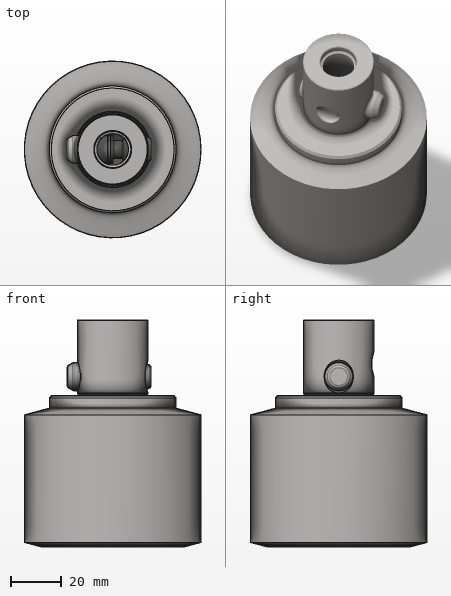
import cadquery as cq
import math

drum_radius = 35.0
flange_radius = 25.1
flange_top = 60.0
flange_height = 5.0
flange_chamfer_width = 0.8
flange_chamfer_height = 1.0
drum_bottom_radius = 28.0
drum_cone_slope = math.tan(math.radians(15))
spigot_radius = 14.0
spigot_top = 90.0
spigot_chamfer = 0.3

relief_depth = 0.2
relief_reach = 1.1
relief_taper_length = 0.5
relief_fillet = 0.5

bore_radius = 6.25
bore_floor = 58.0
drill_point_angle = 118.0
recess_radius = 7.2
recess_depth = 2.5
recess_chamfer = 0.3
recess_floor_rise = 0.45

port_radius = 5.0
port_height = 72.5

pin_radius = 5.6
pin_height = 67.5
pin_left = -18.0
pin_right = 15.2
pin_taper_drop = 1.4
pin_taper_slope = math.tan(math.radians(30))
pin_taper_length = pin_taper_drop / pin_taper_slope
pin_end_fillet = 1.2
pin_hole_mouth_radius = 6.5
pin_hole_taper_length = (pin_hole_mouth_radius - pin_radius) / pin_taper_slope

waist_left = 0.2
waist_right = 4.0
waist_radius = 3.5
waist_fillet = 0.45

ring_section_radius = 0.5
ring_centre_radius = pin_radius - ring_section_radius
groove_left = -1.95
groove_right = -0.75
groove_centre = (groove_left + groove_right) / 2
groove_floor_radius = ring_centre_radius - ring_section_radius

collar_radius = pin_radius + 1.0


def turned_about_z(profile):
    """Solid of revolution about Z from a profile drawn in the XZ plane."""
    return profile.close().revolve(360, (0, 0, 0), (0, 1, 0))


def turned_about_pin_axis(profile):
    """Solid of revolution about the pin axis from a profile of (x, radius) points."""
    solid = profile.close().revolve(360, (0, 0, 0), (1, 0, 0))
    return solid.translate((0, 0, pin_height))


def housing_blank():
    flange_bottom = flange_top - flange_height
    upper_cone_height = (drum_radius - flange_radius) * drum_cone_slope
    lower_cone_height = (drum_radius - drum_bottom_radius) * drum_cone_slope
    relief_floor = flange_top - relief_depth
    neck_radius = spigot_radius - relief_depth
    relief_outer_radius = spigot_radius + relief_reach
    relief_top = flange_top + relief_reach
    profile = (
        cq.Workplane("XZ")
        .lineTo(drum_bottom_radius, 0)
        .lineTo(drum_radius, lower_cone_height)
        .lineTo(drum_radius, flange_bottom - upper_cone_height)
        .lineTo(flange_radius, flange_bottom)
        .lineTo(flange_radius, flange_top - flange_chamfer_height)
        .lineTo(flange_radius - flange_chamfer_width, flange_top)
        .lineTo(relief_outer_radius, flange_top)
        .lineTo(relief_outer_radius - relief_taper_length, relief_floor)
        .lineTo(neck_radius + relief_fillet, relief_floor)
        .radiusArc((neck_radius, relief_floor + relief_fillet), relief_fillet)
        .lineTo(neck_radius, relief_top - relief_taper_length)
        .lineTo(spigot_radius, relief_top)
        .lineTo(spigot_radius, spigot_top - spigot_chamfer)
        .lineTo(spigot_radius - spigot_chamfer, spigot_top)
        .lineTo(0, spigot_top)
    )
    return turned_about_z(profile)


def bore():
    drill_point_height = bore_radius / math.tan(math.radians(drill_point_angle / 2))
    recess_floor = spigot_top - recess_depth
    profile = (
        cq.Workplane("XZ")
        .moveTo(0, bore_floor - drill_point_height)
        .lineTo(bore_radius, bore_floor)
        .lineTo(bore_radius, recess_floor - recess_floor_rise)
        .lineTo(recess_radius, recess_floor)
        .lineTo(recess_radius, spigot_top - recess_chamfer)
        .lineTo(recess_radius + recess_chamfer, spigot_top)
        .lineTo(0, spigot_top)
    )
    return turned_about_z(profile)


def pin_hole():
    """Cross hole along X whose tapered mouths are widest at the spigot surface."""
    taper_start = spigot_radius - pin_hole_taper_length
    profile = (
        cq.Workplane("XY")
        .moveTo(-spigot_radius, 0)
        .lineTo(-spigot_radius, pin_hole_mouth_radius)
        .lineTo(-taper_start, pin_radius)
        .lineTo(taper_start, pin_radius)
        .lineTo(spigot_radius, pin_hole_mouth_radius)
        .lineTo(spigot_radius, 0)
    )
    return turned_about_pin_axis(profile)


def side_port():
    return (
        cq.Workplane("XZ", origin=(0, 0, port_height))
        .circle(port_radius)
        .extrude(-spigot_radius)
    )


def pin_blank():
    tip_radius = pin_radius - pin_taper_drop
    profile = (
        cq.Workplane("XY")
        .moveTo(pin_left, 0)
        .lineTo(pin_left, tip_radius)
        .lineTo(pin_left + pin_taper_length, pin_radius)
        .lineTo(pin_right - pin_taper_length, pin_radius)
        .lineTo(pin_right, tip_radius)
        .lineTo(pin_right, 0)
    )
    return turned_about_pin_axis(profile).edges("%CIRCLE").fillet(pin_end_fillet)


def collar(left, right, inner_radius):
    """Tube around the pin axis, used to cut a groove into the pin."""
    return (
        cq.Workplane("YZ", origin=(left, 0, pin_height))
        .circle(collar_radius)
        .circle(inner_radius)
        .extrude(right - left)
    )


def waist_cutter():
    inner_edges = cq.selectors.RadiusNthSelector(0)
    return collar(waist_left, waist_right, waist_radius).edges(inner_edges).fillet(waist_fillet)


def sealing_ring():
    return (
        cq.Workplane("XY")
        .center(groove_centre, ring_centre_radius)
        .circle(ring_section_radius)
        .revolve(360, (0, -ring_centre_radius, 0), (1, -ring_centre_radius, 0))
        .translate((0, 0, pin_height))
    )


housing = housing_blank().cut(bore()).cut(pin_hole()).cut(side_port())
pin = pin_blank().cut(waist_cutter()).cut(collar(groove_left, groove_right, groove_floor_radius))
ring = sealing_ring()

result = cq.Compound.makeCompound([housing.val(), pin.val(), ring.val()])